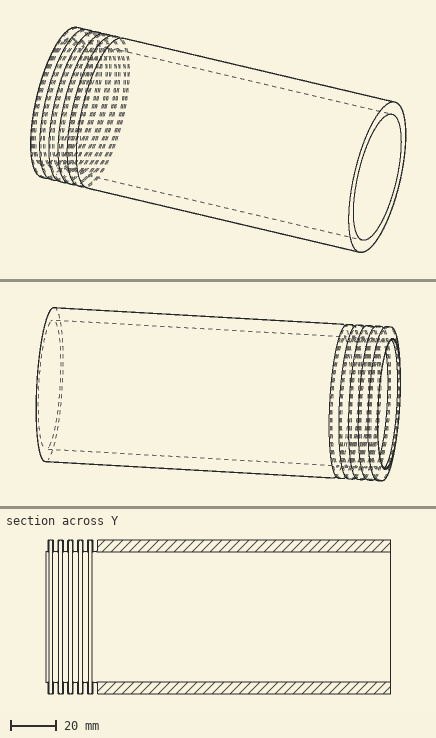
import cadquery as cq

length = 150.0
outer_diameter = 67.2
root_diameter = 57.2
wall = 0.5
bellows_length = 21.5
convolutions = 5
tolerance = wall / 10
pitch = bellows_length / convolutions
bend_radius = 0.5

crest_radius = outer_diameter / 2
root_radius = root_diameter / 2
crest_width = pitch / 2 + wall
root_width = pitch - crest_width


def stepped_body(root, crest, gap, tube_radius):
    """Solid of revolution with rounded convolutions, centred in the length."""
    points = [(0, 0), (0, root)]
    for index in range(convolutions):
        start = index * pitch + gap / 2
        end = (index + 1) * pitch - gap / 2
        points += [(start, root), (start, crest), (end, crest), (end, root)]
    tube_start = convolutions * pitch + gap / 2
    if tube_radius > root:
        points += [(tube_start, root), (tube_start, tube_radius)]
    points += [(length, tube_radius), (length, 0)]
    body = cq.Workplane("XY").polyline(points).close().revolve(360, (0, 0), (1, 0))

    def round_corners(shape, radius):
        edges = [
            edge
            for edge in shape.edges("%CIRCLE").vals()
            if abs(edge.radius() - radius) < tolerance
            and tolerance < edge.Center().x < length - tolerance
        ]
        return shape.newObject(edges).fillet(bend_radius)

    body = round_corners(body, crest)
    body = round_corners(body, root)
    return body.translate((-length / 2, 0, 0))


outside = stepped_body(root_radius, crest_radius, root_width, crest_radius)
bore_radius = root_radius - wall
cavity = stepped_body(bore_radius, crest_radius - wall, root_width + 2 * wall, bore_radius)
result = outside.cut(cavity)